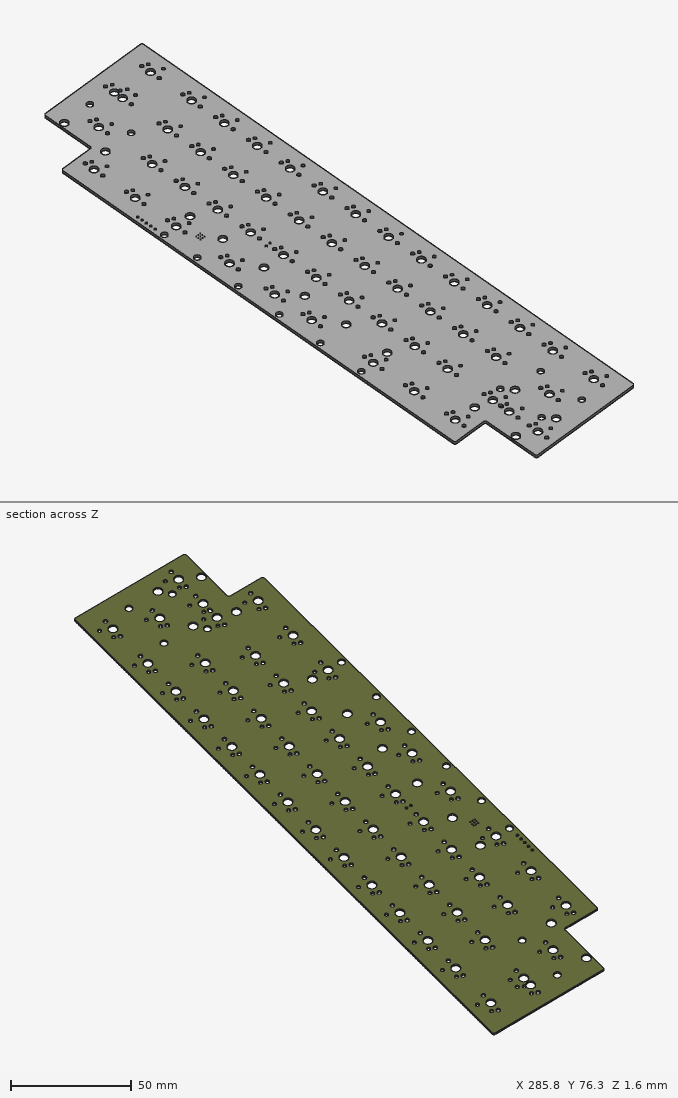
import cadquery as cq

board_length = 285.8
board_width = 76.3
board_thickness = 1.6
corner_radius = 1.0
left_notch_length = 27.7
right_notch_length = 29.7
notch_width = 18.0

keys_along_board = 15
key_pitch = board_length / keys_along_board
steps_per_key = 16
layout_step = key_pitch / steps_per_key
hole_grid = key_pitch / 15

key_rows = [
    [12] + [32 + steps_per_key * i for i in range(12)] + [228],
    [10, 14] + [36 + steps_per_key * i for i in range(11)] + [222],
    [18] + [44 + steps_per_key * i for i in range(10)] + [210, 218, 232],
    [31, 51, 71, 97, 119, 137, 167, 187, 207],
]
bottom_row = len(key_rows) - 1
bottom_row_shift = 0.4

post_diameter = 4.0
side_pin_diameter = 1.75
contact_diameter = 1.51
switch_holes = [
    (0, 0, post_diameter),
    (-4, 0, side_pin_diameter),
    (4, 0, side_pin_diameter),
    (-3, 2, contact_diameter),
    (2, 4, contact_diameter),
]

stabilizer_small_diameter = 3.1
stabilizer_large_diameter = 4.0
stabilizer_small_offset = 5.5 * hole_grid
stabilizer_large_offset = 6.5 * hole_grid
short_reach = 9.4 * hole_grid
space_bar_reach = 3 * key_pitch
stabilizers = [
    (1, 222, short_reach, 1),
    (2, 18, short_reach, 1),
    (2, 218, short_reach, 1),
    (3, 97, short_reach, -1),
    (3, 137, short_reach, -1),
    (3, 119, space_bar_reach, -1),
]

lead_diameter = 1.0
header_count = 5
header_pitch = 2 * hole_grid
header_x = 69.7
header_y = 2.3
lead_pair_x = 119.7
lead_pair_y = 28.5
lead_pair_pitch = 2.3

via_diameter = 0.35
via_count = 3
via_pitch = 1.2
via_field_x = 96.3
via_field_y = 12.3


def key_centre(row, steps):
    x = steps * layout_step
    if row == bottom_row:
        x += bottom_row_shift
    y = board_width / 2 + (bottom_row / 2 - row) * key_pitch
    return x, y


def make_board():
    right_notch_x = board_length - right_notch_length
    outline = [
        (left_notch_length, 0),
        (right_notch_x, 0),
        (right_notch_x, notch_width),
        (board_length, notch_width),
        (board_length, board_width),
        (0, board_width),
        (0, notch_width),
        (left_notch_length, notch_width),
    ]
    plate = cq.Workplane("XY").polyline(outline).close().extrude(board_thickness)
    return plate.edges("|Z").fillet(corner_radius)


def drill(plate, points, diameter):
    """Drill holes that do not overlap each other right through the plate."""
    drills = cq.Workplane("XY").pushPoints(points).circle(diameter / 2).extrude(board_thickness)
    return plate.cut(drills)


def drill_switches(plate):
    centres = [key_centre(row, steps) for row, keys in enumerate(key_rows) for steps in keys]
    for dx, dy, diameter in switch_holes:
        points = [(x + dx * hole_grid, y + dy * hole_grid) for x, y in centres]
        plate = drill(plate, points, diameter)
    return plate


def drill_stabilizers(plate):
    small_points = []
    large_points = []
    for row, steps, reach, small_side in stabilizers:
        x, y = key_centre(row, steps)
        for side in (-1, 1):
            hole_x = x + side * reach
            small_points.append((hole_x, y + small_side * stabilizer_small_offset))
            large_points.append((hole_x, y - small_side * stabilizer_large_offset))
    plate = drill(plate, small_points, stabilizer_small_diameter)
    return drill(plate, large_points, stabilizer_large_diameter)


def drill_leads(plate):
    header = [(header_x + i * header_pitch, header_y) for i in range(header_count)]
    pair = [(lead_pair_x, lead_pair_y + side * lead_pair_pitch / 2) for side in (-1, 1)]
    return drill(plate, header + pair, lead_diameter)


def drill_via_field(plate):
    offsets = [(i - (via_count - 1) / 2) * via_pitch for i in range(via_count)]
    points = [(via_field_x + dx, via_field_y + dy) for dx in offsets for dy in offsets]
    return drill(plate, points, via_diameter)


board = make_board()
board = drill_switches(board)
board = drill_stabilizers(board)
board = drill_leads(board)
result = drill_via_field(board)